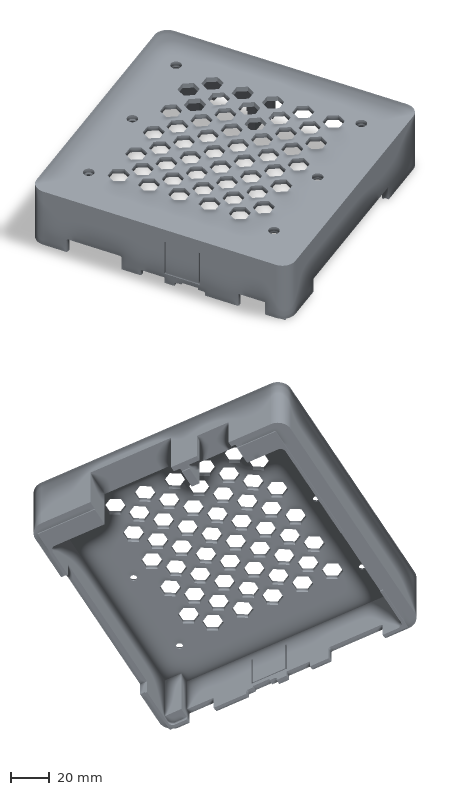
import cadquery as cq

side = 150.0
height = 35.65
lip_height = 0.65
corner_radius = 7.5
wall = 3.0
plate_thickness = 3.0
half = side / 2
skin = half - wall
ceiling = height - plate_thickness

cavity_left = -66.0
cavity_right = 71.0
cavity_rear = 59.3
cavity_fillet = 3.0

lip_left = -67.6
lip_right = 72.2
lip_front = -73.8
lip_rear = 70.1
lip_gap = (-46.6, -3.7)

narrow_recess = (-45.0, -17.0)
narrow_port = (-42.6, -24.0)
narrow_height = 18.0
wide_recess = (-12.5, 38.7)
wide_port = (-8.8, 38.7)
wide_height = 26.0

right_opening_rear = 39.4
right_opening_height = 9.2

plug_opening = (-53.8, -22.0, 9.2)
small_opening = (-11.0, 2.8, 4.2)
side_opening = (45.5, 61.3, 8.7)
stepped_lower = (8.6, 26.5, 3.0)
stepped_upper = (12.7, 22.4, 4.2)
opening_fillet = 1.0

corner_block_depth = 6.0
corner_block_bottom = 2.0

slit_left = 2.7
slit_right = 23.4
slit_bottom = 6.7
slit_top = 27.6
slit_width = 0.8

vent_corner_diameter = 11.55
vent_pitch_x = 17.55
vent_pitch_y = 10.0
vent_rows = 10
vent_columns = 5
vent_first_x = -38.8
vent_first_y = -45.0

screw_x = 53.7
screw_pitch_y = 50.0
screw_hole_diameter = 3.6
screw_head_diameter = 6.0
screw_head_depth = 2.5


def box_between(x_range, y_range, z_range):
    """Box spanning the given start and end along each axis."""
    starts, ends = zip(x_range, y_range, z_range)
    sizes = [end - start for start, end in zip(starts, ends)]
    return cq.Workplane("XY").box(*sizes, centered=False).translate(starts)


def front_opening(opening):
    """Cutter through the front skin, open at the bottom."""
    x_start, x_end, top = opening
    return box_between((x_start, x_end), (-half, -skin), (0, top))


def rounded_front_opening(opening):
    return front_opening(opening).edges("|Y and >Z").fillet(opening_fillet)


def make_shell():
    """Rounded block and its lip, hollowed from below."""
    shell_height = height - lip_height
    block = cq.Workplane("XY").box(side, side, shell_height, centered=(True, True, False))
    block = block.edges("|Z").fillet(corner_radius).translate((0, 0, lip_height))
    lip_x = (lip_left, lip_right)
    lip_z = (0, lip_height)
    front_lip = box_between(lip_x, (lip_front, lip_gap[0]), lip_z)
    rear_lip = box_between(lip_x, (lip_gap[1], lip_rear), lip_z)
    cavity = box_between((cavity_left, cavity_right), (-skin, cavity_rear), (0, ceiling))
    cavity = cavity.edges("|Z").fillet(cavity_fillet)
    return block.union(front_lip).union(rear_lip).cut(cavity)


def add_corner_block(body):
    block = box_between(
        (side_opening[1], skin),
        (-skin, -skin + corner_block_depth),
        (corner_block_bottom, ceiling),
    )
    return body.union(block)


def cut_rear_opening(body, recess, port, top):
    recess_cut = box_between(recess, (cavity_rear, skin), (0, top))
    port_cut = box_between(port, (skin, half), (0, top))
    return body.cut(recess_cut).cut(port_cut)


def cut_right_opening(body):
    y_range = (lip_gap[0], right_opening_rear)
    return body.cut(box_between((cavity_right, half), y_range, (0, right_opening_height)))


def cut_front_openings(body):
    for opening in (plug_opening, stepped_lower):
        body = body.cut(rounded_front_opening(opening))
    for opening in (small_opening, side_opening, stepped_upper):
        body = body.cut(front_opening(opening))
    post = (small_opening[1], stepped_lower[0], lip_height)
    return body.cut(front_opening(post))


def cut_tongue_slit(body):
    y_range = (-half, -skin)
    outline = box_between((slit_left, slit_right), y_range, (slit_bottom, slit_top))
    tongue = box_between(
        (slit_left + slit_width, slit_right - slit_width),
        y_range,
        (slit_bottom + slit_width, slit_top),
    )
    return body.cut(outline.cut(tongue))


def cut_vents(body):
    vent = cq.Workplane("XY").polygon(6, vent_corner_diameter).extrude(plate_thickness)
    vent = vent.rotate((0, 0, 0), (0, 0, 1), 90).val()
    centres = []
    for row in range(vent_rows):
        row_shift = (row % 2) * vent_pitch_x / 2
        for column in range(vent_columns):
            x = vent_first_x + row_shift + column * vent_pitch_x
            y = vent_first_y + row * vent_pitch_y
            centres.append((x, y))
    vents = (
        cq.Workplane("XY", origin=(0, 0, ceiling))
        .pushPoints(centres)
        .eachpoint(lambda place: vent.moved(place))
    )
    return body.cut(vents)


def cut_screw_holes(body):
    centres = [(x, row * screw_pitch_y) for x in (-screw_x, screw_x) for row in (-1, 0, 1)]
    return (
        body.faces(">Z")
        .workplane(origin=(0, 0, height))
        .pushPoints(centres)
        .cboreHole(screw_hole_diameter, screw_head_diameter, screw_head_depth)
    )


result = make_shell()
result = add_corner_block(result)
result = cut_rear_opening(result, narrow_recess, narrow_port, narrow_height)
result = cut_rear_opening(result, wide_recess, wide_port, wide_height)
result = cut_right_opening(result)
result = cut_front_openings(result)
result = cut_tongue_slit(result)
result = cut_vents(result)
result = cut_screw_holes(result)